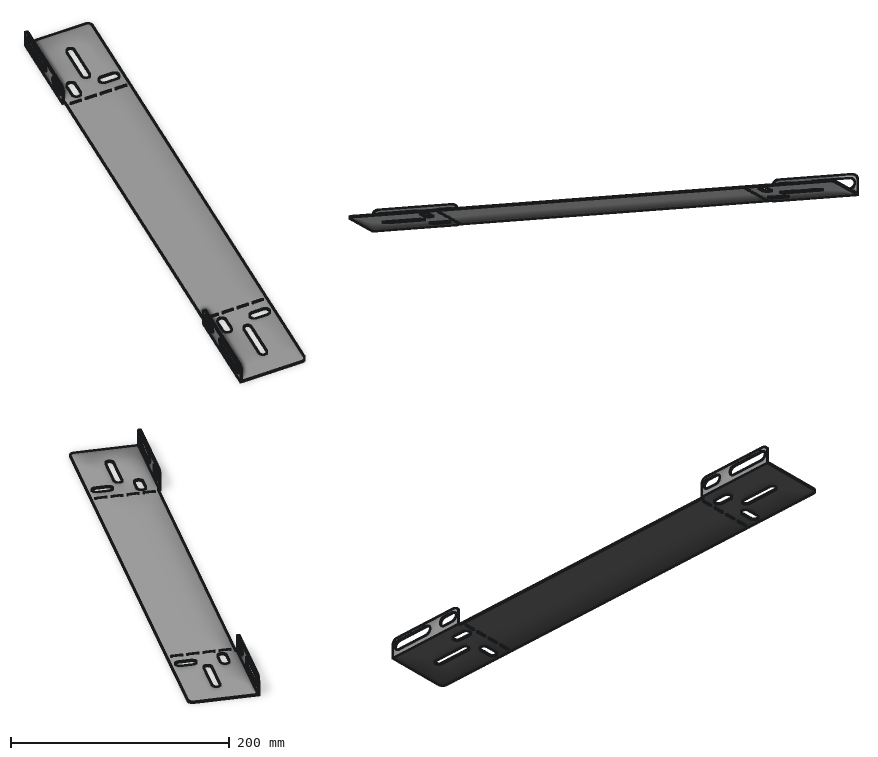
import cadquery as cq

length = 473.0
depth = 66.0
height = 20.0
thickness = 1.5
plate_corner_radius = 4.5

flange_length = 83.0
flange_corner_radius = 5.5
fold_relief = 2.5
flange_slot_height = 10.0
flange_slot_z = 11.5
long_flange_slot_start = 3.0
long_flange_slot_length = 44.5
short_flange_slot_start = 60.0

short_slot_length = 20.0
short_slot_width = 8.5
short_slot_inset = 71.5
cross_slot_y = 19.0
front_slot_y = -16.5
long_slot_length = 41.0
long_slot_width = 7.5
long_slot_inset = 42.5

perforation_count = 4
perforation_length = 10.5
perforation_width = 1.0
perforation_pitch = 15.0
perforation_inset = 86.5

half_length = length / 2
front_y = -depth / 2
back_y = depth / 2
plate_front_y = front_y + fold_relief
plate_mid_y = (plate_front_y + back_y) / 2
plate_depth = back_y - plate_front_y
through = 2 * thickness


def make_plate():
    plate = cq.Workplane("XY").box(length, plate_depth, thickness, centered=(True, True, False))
    plate = plate.edges("|Z and >Y").fillet(plate_corner_radius)
    return plate.translate((0, plate_mid_y, 0))


def make_flange(side):
    """Upright wall and its foot at one end; side is -1 for left, +1 for right."""
    wall = cq.Workplane("XY").box(flange_length, thickness, height, centered=(True, False, False))
    wall = wall.edges("|Y and >Z").fillet(flange_corner_radius)
    foot = cq.Workplane("XY").box(flange_length, fold_relief, thickness, centered=(True, False, False))
    return wall.union(foot).translate((side * (half_length - flange_length / 2), front_y, 0))


def plate_slot(x, y, slot_length, slot_width, angle=0):
    return (
        cq.Workplane("XY")
        .center(x, y)
        .slot2D(slot_length, slot_width, angle)
        .extrude(through, both=True)
    )


def flange_slot(side, start, slot_length):
    x = side * (half_length - start - slot_length / 2)
    return (
        cq.Workplane("XZ", origin=(x, front_y, flange_slot_z))
        .slot2D(slot_length, flange_slot_height)
        .extrude(through, both=True)
    )


def perforations(side):
    return (
        cq.Workplane("XY")
        .center(side * (half_length - perforation_inset), plate_mid_y)
        .rarray(4.5, perforation_pitch, 1, perforation_count)
        .rect(perforation_width, perforation_length)
        .extrude(through, both=True)
    )


result = make_plate()
for side in (-1, 1):
    short_slot_x = side * (half_length - short_slot_inset)
    long_slot_x = side * (half_length - long_slot_inset)
    result = (
        result.union(make_flange(side))
        .cut(plate_slot(short_slot_x, cross_slot_y, short_slot_length, short_slot_width, 90))
        .cut(plate_slot(short_slot_x, front_slot_y, short_slot_length, short_slot_width))
        .cut(plate_slot(long_slot_x, plate_mid_y, long_slot_length, long_slot_width))
        .cut(perforations(side))
        .cut(flange_slot(side, long_flange_slot_start, long_flange_slot_length))
        .cut(flange_slot(side, short_flange_slot_start, short_slot_length))
    )